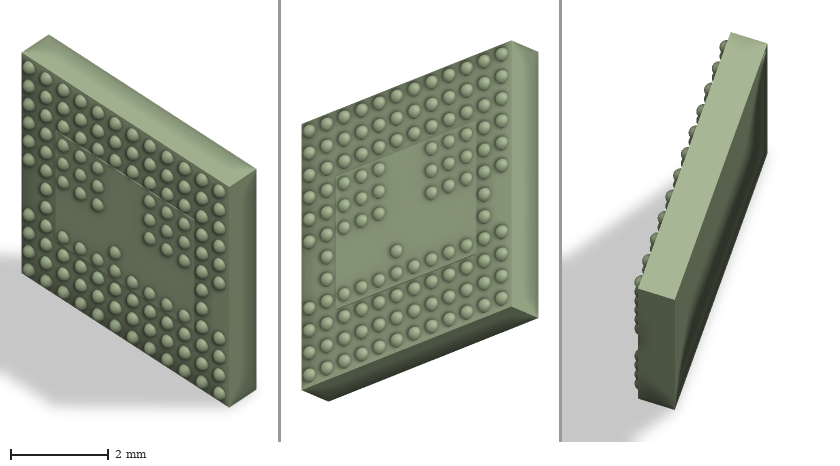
import cadquery as cq

side = 6.0
balls_per_side = 12
pitch = side / balls_per_side
half_side = side / 2

body_depth = 0.8
ball_radius = 0.15
mark_height = 0.01
overall_depth = body_depth + ball_radius + mark_height
ball_face = -overall_depth / 2 + ball_radius
mark_face = ball_face + body_depth

pad_width = 8 * pitch
pad_length = 6 * pitch
pad_height = 0.02

mark_radius = ball_radius

ball_rows = [
    "oooooooooooo",
    "oooooooooooo",
    "oooooooooooo",
    "ooooo..ooooo",
    "ooooo..ooooo",
    "ooooo..ooooo",
    ".o........o.",
    ".o...o....o.",
    "oooooooooooo",
    "oooooooooooo",
    "oooooooooooo",
    "oooooooooooo",
]


def grid_place(column, row):
    """X and Z of a grid place, counted from the -X, +Z corner."""
    x = -half_side + (column + 0.5) * pitch
    z = half_side - (row + 0.5) * pitch
    return x, z


def make_ball(column, row):
    """Ball centred on the ball face, so that half of it stands out of the body."""
    x, z = grid_place(column, row)
    return cq.Workplane("XY").sphere(ball_radius).translate((x, ball_face, z)).val()


def make_mark():
    """Flat disc on the +Y face, in the -X, +Z corner."""
    x, z = grid_place(0, 0)
    disc = cq.Workplane("XZ").circle(mark_radius).extrude(-mark_height)
    return disc.translate((x, mark_face, z))


def make_pad():
    """Rectangular pad on the -Y face."""
    plate = cq.Workplane("XY").box(pad_width, pad_height, pad_length)
    return plate.translate((0, ball_face - pad_height / 2, 0))


def make_body():
    """Square block between the ball face and the plain face."""
    block = cq.Workplane("XY").box(side, body_depth, side)
    return block.translate((0, ball_face + body_depth / 2, 0))


balls = [
    make_ball(column, row)
    for row, places in enumerate(ball_rows)
    for column, place in enumerate(places)
    if place == "o"
]

package = make_body().union(make_pad()).union(make_mark())
result = cq.Workplane(package.val().fuse(*balls)).solids()